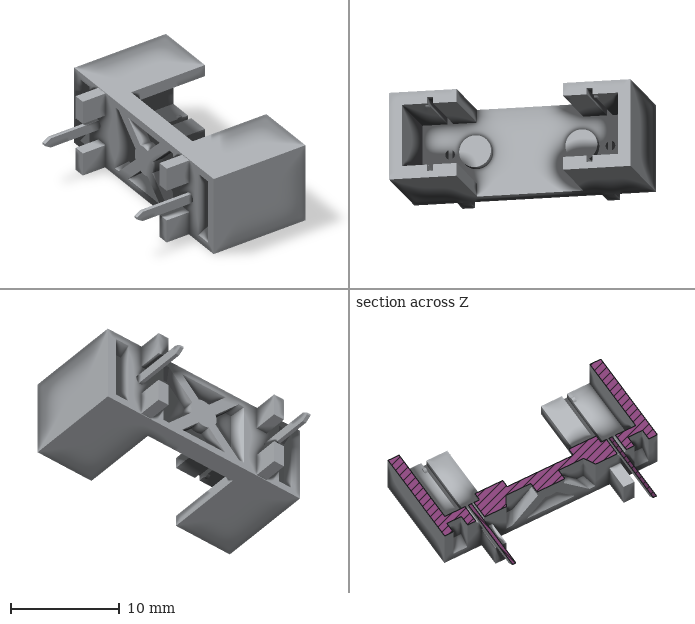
import cadquery as cq
import math

LENGTH = 22.8
HEIGHT = 8.2
DEPTH = 10.2
WEB = 1.98
ARM_WIDTH = 6.38
WALL = 1.2
MID_X = LENGTH / 2
MID_Z = HEIGHT / 2

GROOVE_WIDTH = 0.55
GROOVE_DEPTH = 0.6

LUG_RADIUS = 0.39
LUG_LENGTH = 0.32
LUG_Y = 9.3
LUG_Z = 0.98

BOSS_RADIUS = 1.5
BOSS_LENGTH = 0.82

RECESS_DEPTH = 1.15
RECESS_HEIGHT = 6.7
RECESS_TAPER_Z = 0.68
SLOT_WIDTH = 1.5
SLOT_EDGE = 0.95
POCKET_WIDTH = 9.53
POCKET_TAPER_X = 0.62

RIB_WIDTH = 1.12
HUB_RADIUS = 1.5

FOOT_WIDTH = 1.16
FOOT_HEIGHT = 2.42
FOOT_LENGTH = 2.53
FOOT_EDGE_X = 3.97
FOOT_EDGE_Z = 0.07

PIN_OFFSET = 7.52
PIN_WIDTH = 0.39
PIN_HEIGHT = 1.0
PIN_LENGTH = 6.02
TIP_LENGTH = 0.64
TIP_HEIGHT = 0.2
HOLE_RADIUS = 0.45
HOLE_OFFSET = 7.57

SIDES = (-1, 1)


def box(x, y, z, dx, dy, dz):
    """Box with its lowest corner at (x, y, z)."""
    return cq.Workplane("XY").box(dx, dy, dz, centered=False).translate((x, y, z))


def on_both_ends(shape):
    """The shape together with its mirror image at the other end of the housing."""
    return shape.union(shape.mirror("YZ", (MID_X, 0, 0)))


def tapered_recess(centre_x, width, taper_x):
    """Recess that narrows from the front face to its flat floor."""
    return (
        cq.Workplane("XZ", origin=(centre_x, 0, MID_Z))
        .rect(width, RECESS_HEIGHT)
        .workplane(offset=-RECESS_DEPTH)
        .rect(width - 2 * taper_x, RECESS_HEIGHT - 2 * RECESS_TAPER_Z)
        .loft(ruled=True)
    )


def cylinder_y(x, y, radius, length):
    """Cylinder at mid height that runs from y toward +Y."""
    return cq.Workplane("XZ", origin=(x, y, MID_Z)).circle(radius).extrude(-length)


def make_arm_cavity():
    """Space inside the left arm, open to the inner side and to the back, with its contact grooves."""
    length = DEPTH - WEB
    cavity = box(WALL, WEB, WALL, ARM_WIDTH - WALL, length, HEIGHT - 2 * WALL)
    grooves = box(
        MID_X - PIN_OFFSET - GROOVE_WIDTH / 2,
        WEB,
        WALL - GROOVE_DEPTH,
        GROOVE_WIDTH,
        length,
        HEIGHT - 2 * (WALL - GROOVE_DEPTH),
    )
    return cavity.union(grooves)


def make_lugs():
    """Lower and upper lug in the left arm, each on the outer edge of a groove."""
    groove_edge = MID_X - PIN_OFFSET - GROOVE_WIDTH / 2
    lower = (
        cq.Workplane("YZ", origin=(groove_edge, LUG_Y, LUG_Z))
        .circle(LUG_RADIUS)
        .extrude(-LUG_LENGTH)
    )
    return lower.union(lower.mirror("XY", (0, 0, MID_Z)))


def make_cross():
    """Diagonal ribs and hub that fill part of the middle pocket."""
    cross = cylinder_y(MID_X, 0, HUB_RADIUS, RECESS_DEPTH)
    for angle in (45, -45):
        rib = (
            cq.Workplane("XZ", origin=(MID_X, 0, MID_Z))
            .transformed(rotate=(0, 0, angle))
            .rect(math.hypot(POCKET_WIDTH, RECESS_HEIGHT), RIB_WIDTH)
            .extrude(-RECESS_DEPTH)
        )
        cross = cross.union(rib)
    return cross


def make_feet():
    """Upper and lower foot at the left end."""
    lower = box(FOOT_EDGE_X, -FOOT_LENGTH, FOOT_EDGE_Z, FOOT_WIDTH, FOOT_LENGTH, FOOT_HEIGHT)
    return lower.union(lower.mirror("XY", (0, 0, MID_Z)))


def make_pin(side):
    """Flat pin with a tapered tip, ending flush with the back of the web."""
    x = MID_X + side * PIN_OFFSET
    half = PIN_HEIGHT / 2
    outline = [
        (WEB, half),
        (TIP_LENGTH - PIN_LENGTH, half),
        (-PIN_LENGTH, TIP_HEIGHT / 2),
        (-PIN_LENGTH, -TIP_HEIGHT / 2),
        (TIP_LENGTH - PIN_LENGTH, -half),
        (WEB, -half),
    ]
    return (
        cq.Workplane("YZ", origin=(x, 0, MID_Z))
        .polyline(outline)
        .close()
        .extrude(PIN_WIDTH / 2, both=True)
    )


def make_housing(pins):
    """Whole housing, with openings that fit the given pins."""
    housing = box(0, 0, 0, LENGTH, DEPTH, HEIGHT)

    housing = housing.cut(box(ARM_WIDTH, WEB, 0, LENGTH - 2 * ARM_WIDTH, DEPTH - WEB, HEIGHT))
    housing = housing.cut(on_both_ends(make_arm_cavity()))
    housing = housing.union(on_both_ends(cylinder_y(ARM_WIDTH, WEB, BOSS_RADIUS, BOSS_LENGTH)))
    housing = housing.union(on_both_ends(make_lugs()))

    end_slot = tapered_recess(SLOT_EDGE + SLOT_WIDTH / 2, SLOT_WIDTH, 0)
    housing = housing.cut(on_both_ends(end_slot))
    pocket = tapered_recess(MID_X, POCKET_WIDTH, POCKET_TAPER_X)
    housing = housing.cut(pocket.cut(make_cross()))

    housing = housing.union(on_both_ends(make_feet()))

    housing = housing.cut(on_both_ends(cylinder_y(MID_X - HOLE_OFFSET, 0, HOLE_RADIUS, WEB)))
    for pin in pins:
        housing = housing.cut(pin)
    return housing


pins = [make_pin(side) for side in SIDES]
housing = make_housing(pins)

result = cq.Compound.makeCompound([housing.val(), *[pin.val() for pin in pins]])